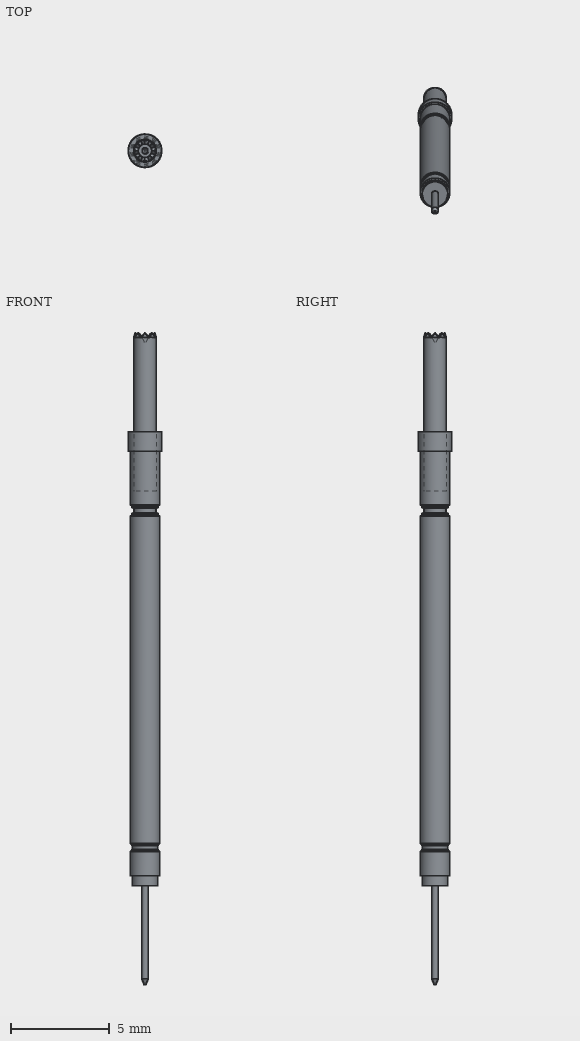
import cadquery as cq
import math

COLLAR_RADIUS = 0.85
COLLAR_HEIGHT = 1.0

BARREL_RADIUS = 0.75
BARREL_LENGTH = 21.5

END_STEP_RADIUS = 0.65
END_STEP_LENGTH = 0.5

PIN_RADIUS = 0.175
PIN_LENGTH = 5.0
PIN_TIP_RADIUS = 0.05
PIN_TIP_LENGTH = 0.3

GROOVE_SLOPE_HEIGHT = 0.06
UPPER_GROOVE = {
    "height": -3.99,
    "width": 0.6,
    "shoulder_radius": 0.68,
    "neck_width": 0.34,
    "neck_radius": 0.57,
}
LOWER_GROOVE = {
    "height": -21.06,
    "width": 0.44,
    "shoulder_radius": 0.68,
    "neck_width": 0.3,
    "neck_radius": 0.65,
}

PLUNGER_RADIUS = 0.575
PLUNGER_REACH = 5.0
SOCKET_DEPTH = 3.0

TOOTH_COUNT = 8
TOOTH_POINT_RADIUS = 0.5
TOOTH_HEIGHT = 0.24
TIP_CHAMFER_HEIGHT = 0.22
RECESS_RADIUS = 0.34
PIT_RADIUS = 0.15
PIT_DEPTH = 0.3


def groove_points(groove):
    """Radius and height of each corner of a groove, from its upper rim to its lower rim."""
    half_width = groove["width"] / 2
    half_neck = groove["neck_width"] / 2
    upper_half = [
        (BARREL_RADIUS, half_width),
        (groove["shoulder_radius"], half_width - GROOVE_SLOPE_HEIGHT),
        (groove["shoulder_radius"], half_neck),
        (groove["neck_radius"], half_neck - GROOVE_SLOPE_HEIGHT),
    ]
    lower_half = [(radius, -offset) for radius, offset in reversed(upper_half)]
    return [(radius, groove["height"] + offset) for radius, offset in upper_half + lower_half]


def make_housing():
    """Collar, grooved barrel, end step and tapered terminal pin, with a socket in the top."""
    collar_bottom = -COLLAR_HEIGHT
    barrel_bottom = collar_bottom - BARREL_LENGTH
    step_bottom = barrel_bottom - END_STEP_LENGTH
    pin_bottom = step_bottom - PIN_LENGTH

    half_section = [
        (0, 0),
        (COLLAR_RADIUS, 0),
        (COLLAR_RADIUS, collar_bottom),
        (BARREL_RADIUS, collar_bottom),
        *groove_points(UPPER_GROOVE),
        *groove_points(LOWER_GROOVE),
        (BARREL_RADIUS, barrel_bottom),
        (END_STEP_RADIUS, barrel_bottom),
        (END_STEP_RADIUS, step_bottom),
        (PIN_RADIUS, step_bottom),
        (PIN_RADIUS, pin_bottom + PIN_TIP_LENGTH),
        (PIN_TIP_RADIUS, pin_bottom),
        (0, pin_bottom),
    ]
    body = cq.Workplane("XZ").polyline(half_section).close().revolve(360, (0, 0, 0), (0, 1, 0))
    socket = cq.Workplane("XY").circle(PLUNGER_RADIUS).extrude(-SOCKET_DEPTH)
    return body.cut(socket)


def make_rod():
    """Round rod from the bottom of the socket to the tip, chamfered around the tip."""
    return (
        cq.Workplane("XY", origin=(0, 0, -SOCKET_DEPTH))
        .circle(PLUNGER_RADIUS)
        .extrude(SOCKET_DEPTH + PLUNGER_REACH)
        .faces(">Z")
        .chamfer(TIP_CHAMFER_HEIGHT, PLUNGER_RADIUS - TOOTH_POINT_RADIUS)
    )


def cut_teeth(plunger, floor):
    """V grooves through the axis leave a ring of teeth that come to points at one radius."""
    half_pitch = math.pi / TOOTH_COUNT
    half_width = TOOTH_POINT_RADIUS * math.sin(half_pitch)
    v_groove = (
        cq.Workplane("YZ")
        .polyline([(-half_width, PLUNGER_REACH), (0, floor), (half_width, PLUNGER_REACH)])
        .close()
        .extrude(PLUNGER_RADIUS, both=True)
    )
    for index in range(TOOTH_COUNT // 2):
        angle = math.degrees((2 * index + 1) * half_pitch)
        plunger = plunger.cut(v_groove.rotate((0, 0, 0), (0, 0, 1), angle))
    return plunger


def cut_recess(plunger, floor):
    """Flat-floored round recess inside the teeth, with a conical pit at its centre."""
    recess = cq.Workplane("XY", origin=(0, 0, floor)).circle(RECESS_RADIUS).extrude(TOOTH_HEIGHT)
    pit = cq.Solid.makeCone(PIT_RADIUS, 0, PIT_DEPTH, cq.Vector(0, 0, floor), cq.Vector(0, 0, -1))
    return plunger.cut(recess).cut(cq.Workplane(pit))


def make_plunger():
    """Plunger seated in the housing's socket, with a serrated crown on top."""
    crown_floor = PLUNGER_REACH - TOOTH_HEIGHT
    toothed_rod = cut_teeth(make_rod(), crown_floor)
    return cut_recess(toothed_rod, crown_floor)


housing = make_housing()
plunger = make_plunger()

result = cq.Compound.makeCompound([housing.val(), plunger.val()])